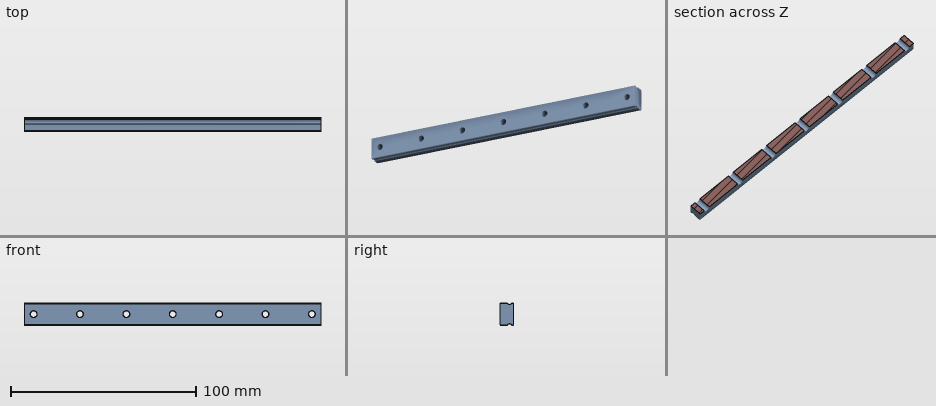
import cadquery as cq

rail_length = 160.0
rail_height = 7.5
rail_width = 12.0

head_chamfer = 0.3
base_chamfer = 0.5

groove_start = 1.0
groove_end = 3.5
groove_depth = 0.7

hole_diameter = 3.5
hole_pitch = 25.0
hole_count = 7

half_width = rail_width / 2
head_y = rail_height / 2
groove_middle = (groove_start + groove_end) / 2


def make_bar():
    """Plain bar with its four long edges chamfered."""
    bar = cq.Workplane("XY").box(rail_length, rail_height, rail_width)
    bar = bar.faces(">Y").edges("|X").chamfer(head_chamfer)
    return bar.faces("<Y").edges("|X").chamfer(base_chamfer)


def make_groove():
    """Cutter for the circular-arc ball groove in the +Z face."""
    return (
        cq.Workplane("YZ", origin=(-rail_length / 2, 0, 0))
        .moveTo(head_y - groove_start, half_width)
        .threePointArc(
            (head_y - groove_middle, half_width - groove_depth),
            (head_y - groove_end, half_width),
        )
        .close()
        .extrude(rail_length)
    )


def make_holes():
    """Row of through holes along Y, centred on the rail."""
    return (
        cq.Workplane("XZ", origin=(0, head_y, 0))
        .rarray(hole_pitch, 1, hole_count, 1)
        .circle(hole_diameter / 2)
        .extrude(rail_height)
    )


upper_groove = make_groove()
lower_groove = upper_groove.mirror("XY")
result = make_bar().cut(upper_groove).cut(lower_groove).cut(make_holes())